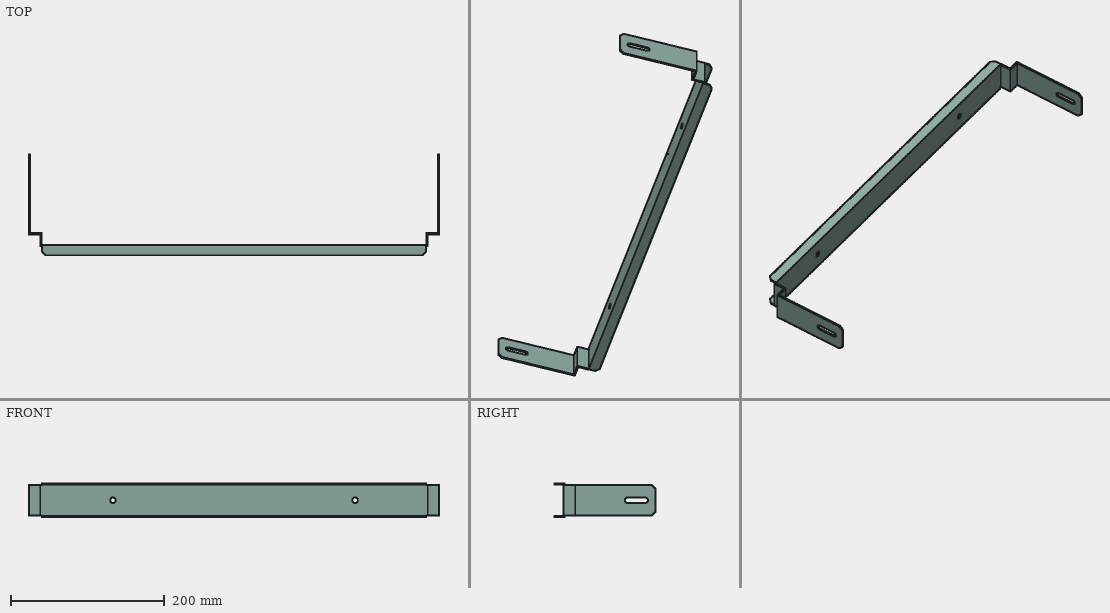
import cadquery as cq

length = 534.0
depth = 132.0
height = 44.0
sheet = 2.0

flange_depth = 14.0
flange_corner = 5.0
hole_spacing = 315.0
hole_diameter = 7.0

step_width = 15.0
step_front = 27.0
leg_corner = 5.0
slot_length = 30.0
slot_width = 7.0
slot_from_end = 25.0

bracket_height = height - 2 * sheet
half_length = length / 2
inner_leg_x = half_length - step_width
channel_length = 2 * (inner_leg_x - sheet)
web_front = flange_depth - sheet


def centred_block(x_size, y_min, y_max, z_size):
    """Block centred on X and Z between two Y positions."""
    block = cq.Workplane("XY").box(x_size, y_max - y_min, z_size)
    return block.translate((0, (y_min + y_max) / 2, 0))


def make_channel():
    channel = centred_block(channel_length, 0, flange_depth, height)
    channel = channel.edges("|Z and <Y").chamfer(flange_corner)
    channel = channel.cut(centred_block(length, 0, web_front, bracket_height))
    holes = (
        cq.Workplane("XZ", origin=(0, flange_depth, 0))
        .pushPoints([(-hole_spacing / 2, 0), (hole_spacing / 2, 0)])
        .circle(hole_diameter / 2)
        .extrude(sheet)
    )
    return channel.cut(holes)


def make_right_bracket():
    """Z-shaped bracket at the +X end, with a slotted outer leg."""
    outline = [
        (inner_leg_x, web_front),
        (inner_leg_x, step_front),
        (half_length, step_front),
        (half_length, depth),
        (half_length - sheet, depth),
        (half_length - sheet, step_front + sheet),
        (inner_leg_x - sheet, step_front + sheet),
        (inner_leg_x - sheet, web_front),
    ]
    bracket = (
        cq.Workplane("XY")
        .workplane(offset=-bracket_height / 2)
        .polyline(outline)
        .close()
        .extrude(bracket_height)
    )
    bracket = bracket.edges("|X and >Y").edges("<Z or >Z").chamfer(leg_corner)
    slot = (
        cq.Workplane("YZ", origin=(half_length - sheet, 0, 0))
        .center(depth - slot_from_end, 0)
        .slot2D(slot_length, slot_width)
        .extrude(sheet)
    )
    return bracket.cut(slot)


right_bracket = make_right_bracket()
left_bracket = right_bracket.mirror("YZ")
result = (
    make_channel()
    .union(right_bracket)
    .union(left_bracket)
    .translate((0, -depth / 2, 0))
)